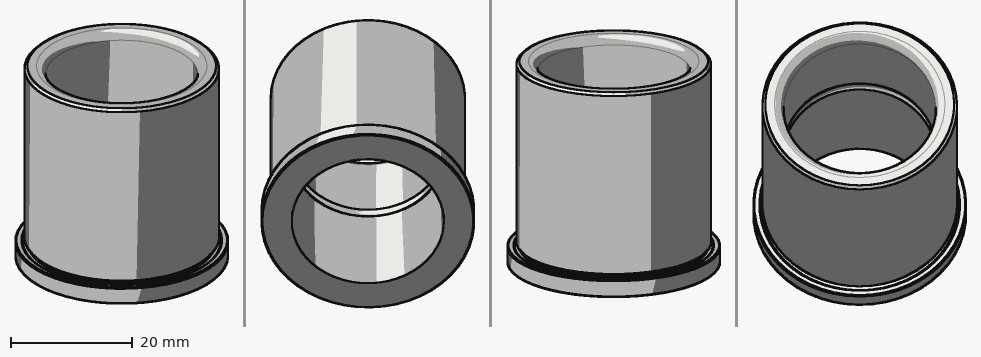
import cadquery as cq
import math

height = 35.0
flange_radius = 17.5
flange_thickness = 3.0
flange_chamfer = 0.18
body_radius = 16.0
body_chamfer = 0.5
bore_radius = 12.5
bore_round = 1.5

neck_radius = 15.5
neck_top = 3.57
neck_slope = body_radius - neck_radius
neck_floor = 2.75
neck_outer_radius = 16.25
neck_flare = 0.25

bore_groove_bottom = 18.95
bore_groove_width = 1.85
bore_groove_depth = 0.42


def make_outer_body():
    """Flange, relief groove and chamfered sleeve as one turned solid."""
    profile = (
        cq.Workplane("XZ")
        .lineTo(flange_radius - flange_chamfer, 0)
        .lineTo(flange_radius, flange_chamfer)
        .lineTo(flange_radius, flange_thickness - flange_chamfer)
        .lineTo(flange_radius - flange_chamfer, flange_thickness)
        .lineTo(neck_outer_radius + neck_flare, flange_thickness)
        .lineTo(neck_outer_radius, neck_floor)
        .lineTo(neck_radius, neck_floor)
        .lineTo(neck_radius, neck_top - neck_slope)
        .lineTo(body_radius, neck_top)
        .lineTo(body_radius, height - body_chamfer)
        .lineTo(body_radius - body_chamfer, height)
        .lineTo(0, height)
        .close()
    )
    return profile.revolve(360, (0, 0, 0), (0, 1, 0))


def make_bore():
    """Through bore with a rounded top mouth and a shallow round groove in its wall."""
    mouth_radius = bore_radius + bore_round
    mouth_start = height - bore_round
    diagonal = bore_round * math.sqrt(0.5)
    groove_top = bore_groove_bottom + bore_groove_width
    groove_middle = bore_groove_bottom + bore_groove_width / 2

    profile = (
        cq.Workplane("XZ")
        .lineTo(bore_radius, 0)
        .lineTo(bore_radius, bore_groove_bottom)
        .threePointArc((bore_radius + bore_groove_depth, groove_middle), (bore_radius, groove_top))
        .lineTo(bore_radius, mouth_start)
        .threePointArc((mouth_radius - diagonal, mouth_start + diagonal), (mouth_radius, height))
        .lineTo(0, height)
        .close()
    )
    return profile.revolve(360, (0, 0, 0), (0, 1, 0))


result = make_outer_body().cut(make_bore())